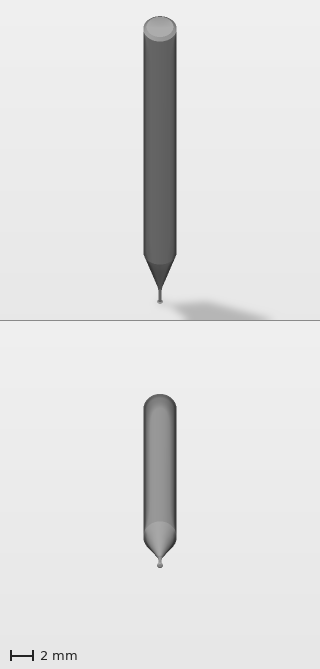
import cadquery as cq

length = 38.0
shank_radius = 3.0 / 2
collar_radius = 0.38 / 2
neck_radius = 0.31 / 2
cutter_radius = 0.55 / 2

cutter_height = 0.2
collar_start = 1.82
taper_start = 2.05
shank_start = 6.95

chamfer_height = 0.25
chamfer_width = 0.3

profile = [
    (0, 0),
    (neck_radius, 0),
    (cutter_radius, cutter_height / 2),
    (neck_radius, cutter_height),
    (neck_radius, collar_start),
    (collar_radius, collar_start),
    (collar_radius, taper_start),
    (shank_radius, shank_start),
    (shank_radius, length - chamfer_height),
    (shank_radius - chamfer_width, length),
    (0, length),
]

result = cq.Workplane("XZ").polyline(profile).close().revolve(360, (0, 0, 0), (0, 1, 0))